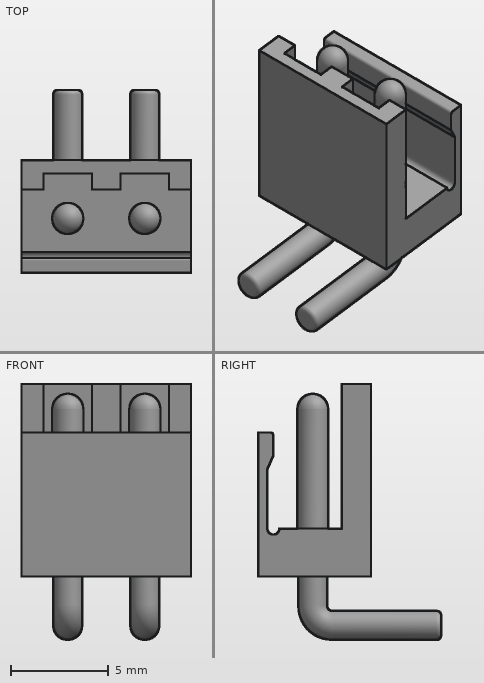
import cadquery as cq
import math


width = 8.72
depth = 5.8
housing_bottom = 3.25
floor_z = 5.72
back_wall_top = 13.15
back_wall_thickness = 1.51

latch_top = 10.66
arm_thickness = 0.47
lip_thickness = 0.78
lip_height = 1.21
taper_height = 0.68
lip_fillet = 0.16
groove_radius = 0.3

pocket_width = 2.51
pocket_depth = 0.83

pin_pitch = 3.96
pin_y = 2.8
contact_radius = 0.8
contact_top = 12.65
tail_radius = 0.75
tail_end_y = 9.4
tail_fillet = 0.24
bend_radius = 1.0

pin_positions = [width / 2 - pin_pitch / 2, width / 2 + pin_pitch / 2]


def make_housing():
    """Extrude the side profile, drawn in the YZ plane, across the full width."""
    wall_front = depth - back_wall_thickness
    groove_back = arm_thickness + 2 * groove_radius
    lip_bottom = latch_top - lip_height
    fillet_mid = lip_fillet * math.sqrt(0.5)
    return (
        cq.Workplane("YZ")
        .moveTo(0, housing_bottom)
        .lineTo(depth, housing_bottom)
        .lineTo(depth, back_wall_top)
        .lineTo(wall_front, back_wall_top)
        .lineTo(wall_front, floor_z)
        .lineTo(groove_back, floor_z)
        .threePointArc(
            (arm_thickness + groove_radius, floor_z - groove_radius),
            (arm_thickness, floor_z),
        )
        .lineTo(arm_thickness, lip_bottom - taper_height)
        .lineTo(lip_thickness, lip_bottom)
        .lineTo(lip_thickness, latch_top - lip_fillet)
        .threePointArc(
            (lip_thickness - lip_fillet + fillet_mid, latch_top - lip_fillet + fillet_mid),
            (lip_thickness - lip_fillet, latch_top),
        )
        .lineTo(0, latch_top)
        .close()
        .extrude(width)
    )


def make_pocket(x):
    """Pocket cutter running from the floor up through the top of the back wall."""
    return cq.Workplane("XY").box(
        pocket_width, pocket_depth, back_wall_top - floor_z, centered=(True, False, False)
    ).translate((x, depth - back_wall_thickness, floor_z))


def make_contact(x):
    """Upright round contact with a hemispherical tip, rooted in the housing floor."""
    root_z = (housing_bottom + floor_z) / 2
    shoulder_z = contact_top - contact_radius
    shaft = (
        cq.Workplane("XY", origin=(x, pin_y, root_z))
        .circle(contact_radius)
        .extrude(shoulder_z - root_z)
    )
    tip = cq.Workplane("XY").sphere(contact_radius).translate((x, pin_y, shoulder_z))
    return shaft.union(tip)


def make_tail(x):
    """Solder tail: down from the housing, round a quarter bend, then straight back."""
    root_z = (housing_bottom + floor_z) / 2
    bend_start_z = tail_radius + bend_radius
    bend_end_y = pin_y + bend_radius
    drop = (
        cq.Workplane("XY", origin=(x, pin_y, bend_start_z))
        .circle(tail_radius)
        .extrude(root_z - bend_start_z)
    )
    bend = (
        cq.Workplane("XY", origin=(x, pin_y, bend_start_z))
        .circle(tail_radius)
        .revolve(90, (0, bend_radius, 0), (1, bend_radius, 0))
    )
    run = (
        cq.Workplane("XZ", origin=(x, bend_end_y, tail_radius))
        .circle(tail_radius)
        .extrude(bend_end_y - tail_end_y)
        .faces(">Y")
        .fillet(tail_fillet)
    )
    return drop.union(bend).union(run)


result = make_housing()
for pin_x in pin_positions:
    result = result.cut(make_pocket(pin_x))
    result = result.union(make_contact(pin_x)).union(make_tail(pin_x))